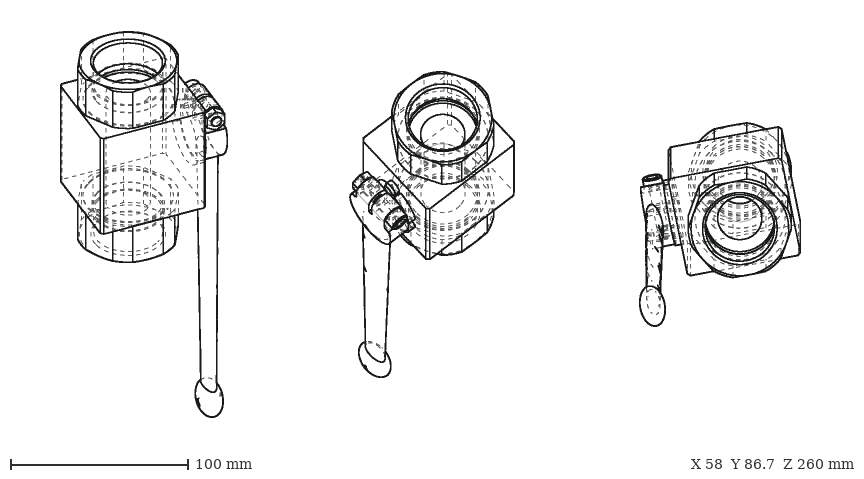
import cadquery as cq
import math


overall_length = 260.0
valve_length = 119.8
block_width = 58.0
block_height = 66.3
block_front = -29.5
block_back = 35.5
block_chamfer = 1.5
end_across_flats = 55.0
end_diameter = 58.2
end_chamfer_radial = 1.5
end_chamfer_height = 0.8
neck_diameter = 51.0
neck_height = 0.8

bore_diameter = 25.0
port_diameter = 39.0
port_mouth_diameter = 42.0
port_depth = 21.8
port_chamfer = (port_mouth_diameter - port_diameter) / 2
relief_start = 16.0
relief_diameter = 41.0
relief_taper = (relief_diameter - port_diameter) / 2

disc_radius = 19.0
disc_top = 40.3
disc_thickness = disc_top - block_back
disc_mid_y = (block_back + disc_top) / 2
notch_diameter = 8.0
notch_x = 18.5
notch_fillet = 1.3
pin_diameter = 8.0
recess_radius = 14.3
recess_start = -4.2
recess_end = -6.0
recess_fillet = 2.3
pin_z = 18.5
pin_chamfer_height = 1.8
pin_chamfer_radial = 0.8

hub_radius = 17.7
hub_thickness = 13.3
hub_back = disc_top + hub_thickness
lug_z = 15.3
lug_width = 24.2
seat_floor_z = 7.8
seat_fillet = 2.3
slot_width = 2.3
arm_top_width = 22.5
arm_top_thickness = 9.4
arm_end_width = 14.5
arm_end_thickness = 7.3
knob_radius = 11.5
knob_half_thickness = 7.0
knob_y = 50.2
lever_tip_z = valve_length / 2 - overall_length
knob_z = lever_tip_z + knob_radius

bolt_y = disc_top + hub_thickness / 2
shank_diameter = 6.0
head_diameter = 11.0
head_height = 6.5
head_chamfer = 0.5
socket_diameter = 6.0
socket_depth = 2.3
nut_across_flats = 11.0
nut_height = 4.7
shank_end_x = 17.7


def cylinder_along_y(diameter, y_start, y_end, x=0.0, z=0.0):
    return (
        cq.Workplane("XZ", origin=(x, y_start, z))
        .circle(diameter / 2)
        .extrude(y_start - y_end)
    )


def cylinder_along_x(diameter, x_start, x_end):
    return (
        cq.Workplane("YZ", origin=(x_start, bolt_y, lug_z))
        .circle(diameter / 2)
        .extrude(x_end - x_start)
    )


def hexagon_prism(plane, across_flats, height):
    """Hexagonal prism with two flats square to the first axis of its plane."""
    across_corners = across_flats / math.cos(math.radians(30))
    return plane.transformed(rotate=(0, 0, 30)).polygon(6, across_corners).extrude(height)


def make_top_end():
    """Hexagonal end with turned corners, on a short round neck."""
    z_block = block_height / 2
    z_hexagon = z_block + neck_height
    z_end = valve_length / 2
    end_plane = cq.Workplane("XY", origin=(0, 0, z_hexagon))
    hexagon = hexagon_prism(end_plane, end_across_flats, z_end - z_hexagon)
    r = end_diameter / 2
    turned = (
        cq.Workplane("XZ")
        .polyline([
            (0, z_hexagon),
            (r, z_hexagon),
            (r, z_end - end_chamfer_height),
            (r - end_chamfer_radial, z_end),
            (0, z_end),
        ])
        .close()
        .revolve(360, (0, 0), (0, 1))
    )
    neck = cq.Workplane("XY", origin=(0, 0, z_block)).circle(neck_diameter / 2).extrude(neck_height)
    return hexagon.intersect(turned).union(neck)


def make_top_port():
    """Chamfered port bore with a relief groove that tapers back at its floor."""
    z_end = valve_length / 2
    z_floor = z_end - port_depth
    r = port_diameter / 2
    r_relief = relief_diameter / 2
    return (
        cq.Workplane("XZ")
        .polyline([
            (0, z_floor),
            (r, z_floor),
            (r_relief, z_floor + relief_taper),
            (r_relief, z_end - relief_start),
            (r, z_end - relief_start),
            (r, z_end - port_chamfer),
            (port_mouth_diameter / 2, z_end),
            (0, z_end),
        ])
        .close()
        .revolve(360, (0, 0), (0, 1))
    )


def make_stop_disc():
    """Disc with a quarter-turn recess that stops on the pin, and a round notch on the -X side."""
    disc = cylinder_along_y(2 * disc_radius, block_back, disc_top)
    recess_reach = 2 * disc_radius
    recess = (
        cq.Workplane("XZ", origin=(0, block_back, 0))
        .rect(recess_reach, recess_reach, centered=False)
        .extrude(-disc_thickness)
        .translate((recess_start, 0, recess_end))
        .cut(cylinder_along_y(2 * recess_radius, block_back, disc_top))
    )
    disc = disc.cut(recess)
    start_mouth_z = math.sqrt(disc_radius**2 - recess_start**2)
    end_mouth_x = math.sqrt(disc_radius**2 - recess_end**2)
    for x, z in [(recess_start, start_mouth_z), (end_mouth_x, recess_end)]:
        disc = disc.edges(cq.selectors.NearestToPointSelector((x, disc_mid_y, z))).fillet(recess_fillet)
    disc = disc.cut(cylinder_along_y(notch_diameter, block_back, disc_top, -notch_x, 0))
    notch_mouth = cq.selectors.BoxSelector(
        (-disc_radius, block_back, -notch_diameter), (-recess_radius, disc_top, notch_diameter)
    )
    return disc.edges("|Y").edges(notch_mouth).fillet(notch_fillet)


def make_stop_pin():
    r = pin_diameter / 2
    return (
        cq.Workplane("XY", origin=(0, 0, pin_z))
        .polyline([
            (0, block_back),
            (r, block_back),
            (r, disc_top - pin_chamfer_height),
            (r - pin_chamfer_radial, disc_top),
            (0, disc_top),
        ])
        .close()
        .revolve(360, (0, 0), (0, 1))
    )


def make_housing():
    block = (
        cq.Workplane("XY")
        .box(block_width, block_back - block_front, block_height)
        .edges("|Z")
        .chamfer(block_chamfer)
        .translate((0, (block_front + block_back) / 2, 0))
    )
    top_end = make_top_end()
    top_port = make_top_port()
    flow_bore = cq.Workplane("XY").circle(bore_diameter / 2).extrude(valve_length / 2, both=True)
    return (
        block.union(top_end)
        .union(top_end.mirror("XY"))
        .union(make_stop_disc())
        .union(make_stop_pin())
        .cut(top_port)
        .cut(top_port.mirror("XY"))
        .cut(flow_bore)
    )


def make_hub():
    """Round hub with a slotted clamp lug and a flat seat at each end of the lug."""
    hub = cylinder_along_y(2 * hub_radius, disc_top, hub_back)
    lug_base = cq.Workplane("XY").box(lug_width, hub_thickness, lug_z, centered=(True, True, False))
    hub = hub.union(lug_base.translate((0, bolt_y, 0)))
    cutter_size = 2 * hub_radius
    for side in (-1, 1):
        seat = (
            cq.Workplane("XY")
            .box(cutter_size, cutter_size, cutter_size)
            .translate((side * (lug_width + cutter_size) / 2, bolt_y, seat_floor_z + cutter_size / 2))
        )
        inner_face = ">X" if side < 0 else "<X"
        hub = hub.cut(seat.faces(inner_face).edges("<Z").fillet(seat_fillet))
    above_lug = cq.Workplane("XY").box(cutter_size, cutter_size, cutter_size, centered=(True, True, False))
    hub = hub.cut(above_lug.translate((0, bolt_y, lug_z)))
    return hub.union(cylinder_along_x(hub_thickness, -lug_width / 2, lug_width / 2))


def make_arm():
    """Tapering arm of elliptical section, its back in line with the back of the hub."""
    top_y = hub_back - arm_top_thickness / 2
    end_y = hub_back - arm_end_thickness / 2
    return (
        cq.Workplane("XY", origin=(0, top_y, 0))
        .ellipse(arm_top_width / 2, arm_top_thickness / 2)
        .workplane(offset=knob_z)
        .center(0, end_y - top_y)
        .ellipse(arm_end_width / 2, arm_end_thickness / 2)
        .loft()
    )


def make_knob():
    """Flattened ball, turned about an axis along Y."""
    return (
        cq.Workplane("XY", origin=(0, knob_y, knob_z))
        .moveTo(0, -knob_half_thickness)
        .ellipseArc(knob_radius, knob_half_thickness, -90, 90)
        .close()
        .revolve(360, (0, 0), (0, 1))
    )


def make_lever(fitted_bolt):
    """Hub, arm and knob in one, slotted at the lug and cut to fit around the bolt."""
    slot = (
        cq.Workplane("XY", origin=(0, bolt_y, seat_floor_z))
        .box(slot_width, 2 * hub_thickness, 2 * lug_z, centered=(True, True, False))
    )
    return make_hub().union(make_arm()).union(make_knob()).cut(slot).cut(fitted_bolt)


def make_bolt():
    """Socket-head bolt with its hexagon nut."""
    head_seat_x = -lug_width / 2
    head_end_x = head_seat_x - head_height
    nut_seat_x = lug_width / 2
    head = cylinder_along_x(head_diameter, head_seat_x, head_end_x).faces("<X").chamfer(head_chamfer)
    socket_cone = cq.Solid.makeCone(
        socket_diameter / 2, 0, socket_depth, cq.Vector(head_end_x, bolt_y, lug_z), cq.Vector(1, 0, 0)
    )
    nut_plane = cq.Workplane("YZ", origin=(nut_seat_x, bolt_y, lug_z))
    nut = hexagon_prism(nut_plane, nut_across_flats, nut_height)
    shank = cylinder_along_x(shank_diameter, head_seat_x, shank_end_x)
    return head.union(shank).union(nut).cut(cq.Workplane(socket_cone))


housing = make_housing()
bolt = make_bolt()
lever = make_lever(bolt)

result = cq.Compound.makeCompound([housing.val(), lever.val(), bolt.val()])